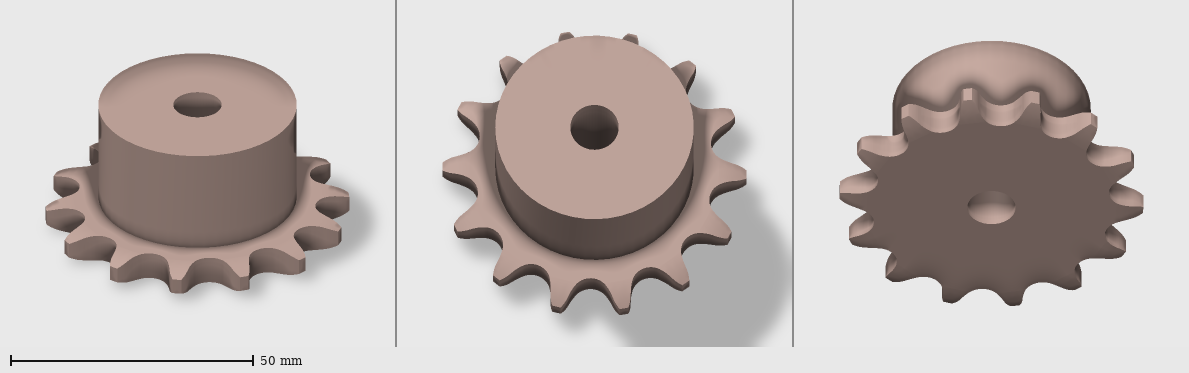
import cadquery as cq
import math


teeth = 14
pitch = 12.7
roller_diameter = 7.75
tip_diameter = 62.8
plate_thickness = 5.9
total_height = 28.0
hub_diameter = 41.0
bore_diameter = 10.0
bevel_depth = 1.3
bevel_radius = 13.0

half_pitch_angle = math.pi / teeth
pitch_radius = pitch / (2 * math.sin(half_pitch_angle))
tip_radius = tip_diameter / 2
seating_angle = math.radians(35 + 60 / teeth)
working_sweep = math.radians(18 - 56 / teeth)
topping_angle = math.radians(17 - 64 / teeth)

working_offset = 0.8 * roller_diameter
topping_offset = 1.4 * roller_diameter

seating_clearance = 0.038
seating_radius = 0.5025 * roller_diameter + seating_clearance
working_radius = seating_radius + working_offset
topping_radius = (
    working_offset * math.cos(working_sweep)
    + topping_offset * math.cos(topping_angle)
    - working_radius
)
straight_length = (
    topping_offset * math.sin(topping_angle) - working_offset * math.sin(working_sweep)
)


def shifted(point, distance, angle):
    """Move a point by a distance along a direction given from the X axis."""
    return (point[0] + distance * math.cos(angle), point[1] + distance * math.sin(angle))


def rotated(point, angle):
    """Turn a point about the sprocket axis."""
    x, y = point
    return (
        x * math.cos(angle) - y * math.sin(angle),
        x * math.sin(angle) + y * math.cos(angle),
    )


def mirrored(point):
    """Reflect a point across the X axis, the centreline of the first tooth."""
    return (point[0], -point[1])


def flank_points():
    """Points up the +Y flank of the tooth centred on +X.

    Order: seating end, working middle, working end, topping start, topping middle, tip.
    """
    seat_centre = shifted((0, 0), pitch_radius, half_pitch_angle)

    seat_normal = -math.pi / 2 - (seating_angle - half_pitch_angle)
    upper_normal = seat_normal + working_sweep

    seat_end = shifted(seat_centre, seating_radius, seat_normal)
    working_centre = shifted(seat_end, -working_radius, seat_normal)
    working_middle = shifted(working_centre, working_radius, seat_normal + working_sweep / 2)
    working_end = shifted(working_centre, working_radius, upper_normal)

    topping_start = shifted(working_end, straight_length, upper_normal + math.pi / 2)
    topping_centre = shifted(topping_start, topping_radius, upper_normal)

    centre_distance = math.hypot(*topping_centre)
    centre_angle = math.atan2(topping_centre[1], topping_centre[0])
    tip_cosine = (centre_distance**2 + tip_radius**2 - topping_radius**2) / (
        2 * centre_distance * tip_radius
    )
    tip_point = shifted((0, 0), tip_radius, centre_angle + math.acos(tip_cosine))

    start_angle = upper_normal + math.pi
    end_angle = math.atan2(tip_point[1] - topping_centre[1], tip_point[0] - topping_centre[0])
    topping_middle = shifted(topping_centre, topping_radius, (start_angle + end_angle) / 2)
    return seat_end, working_middle, working_end, topping_start, topping_middle, tip_point


def tooth_prism():
    """Full toothed outline, extruded to the plate thickness."""
    seat_end, working_middle, working_end, topping_start, topping_middle, tip = flank_points()
    root = shifted((0, 0), pitch_radius - seating_radius, half_pitch_angle)
    tip_middle = (tip_radius, 0)

    outline = cq.Workplane("XY").moveTo(*mirrored(seat_end))
    for index in range(teeth):
        turn = 2 * half_pitch_angle * index
        next_turn = turn + 2 * half_pitch_angle
        outline = (
            outline.threePointArc(
                rotated(mirrored(working_middle), turn), rotated(mirrored(working_end), turn)
            )
            .lineTo(*rotated(mirrored(topping_start), turn))
            .threePointArc(rotated(mirrored(topping_middle), turn), rotated(mirrored(tip), turn))
            .threePointArc(rotated(tip_middle, turn), rotated(tip, turn))
            .threePointArc(rotated(topping_middle, turn), rotated(topping_start, turn))
            .lineTo(*rotated(working_end, turn))
            .threePointArc(rotated(working_middle, turn), rotated(seat_end, turn))
            .threePointArc(rotated(root, turn), rotated(mirrored(seat_end), next_turn))
        )
    return outline.close().extrude(plate_thickness)


def bevelled_blank():
    """Disc whose faces curve away toward the rim, tangent to the flat middle."""
    bevel_angle = math.acos(1 - bevel_depth / bevel_radius)
    flat_radius = tip_radius - bevel_radius * math.sin(bevel_angle)
    middle_radius = flat_radius + bevel_radius * math.sin(bevel_angle / 2)
    middle_drop = bevel_radius * (1 - math.cos(bevel_angle / 2))
    return (
        cq.Workplane("XZ")
        .lineTo(flat_radius, 0)
        .threePointArc((middle_radius, middle_drop), (tip_radius, bevel_depth))
        .lineTo(tip_radius, plate_thickness - bevel_depth)
        .threePointArc(
            (middle_radius, plate_thickness - middle_drop), (flat_radius, plate_thickness)
        )
        .lineTo(0, plate_thickness)
        .close()
        .revolve(360, (0, 0), (0, 1))
    )


toothed_plate = tooth_prism().intersect(bevelled_blank())
hub = cq.Workplane("XY").circle(hub_diameter / 2).extrude(total_height)
bore = cq.Workplane("XY").circle(bore_diameter / 2).extrude(total_height)

result = toothed_plate.union(hub).cut(bore)